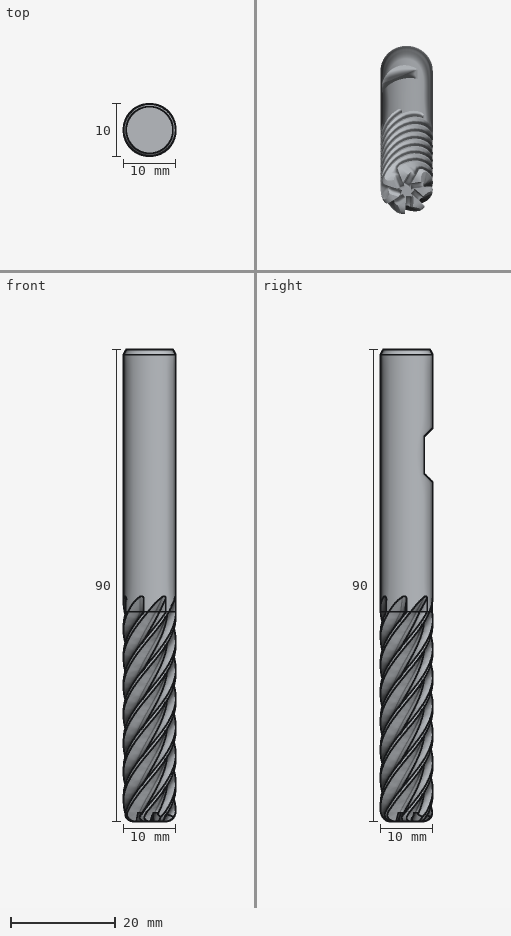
import cadquery as cq
import math

total_length = 90.0
diameter = 10.0
radius = diameter / 2
cutting_length = 40.0

chamfer_height = 1.0
chamfer_width = 0.5
flat_depth = 1.6
flat_center = 69.8
flat_length = 7.1

tooth_count = 7
tooth_pitch = 360.0 / tooth_count
flute_lead = 37.9
land_angle = 9.0
core_radius = 3.4
root_start_angle = 31.0
root_end_angle = 46.0
root_depth = 0.2
mouth_overshoot = 1.3
clearance_radius = 1.3 * radius
end_overshoot = 0.9

runout_length = 2.6

corner_radius = 2.0
gash_height = 1.7
gash_top_width = 0.9
gash_bottom_width = 1.4
gash_inner_radius = 0.9


def polar(distance, angle):
    """Point at a distance from the axis and an angle in degrees."""
    return (distance * math.cos(math.radians(angle)), distance * math.sin(math.radians(angle)))


def extended(inner, outer):
    """Point beyond the outer one, on the line from the inner point through the outer point."""
    return tuple(i + mouth_overshoot * (o - i) for i, o in zip(inner, outer))


def helix_turn(height):
    """Angle in degrees that the flutes turn over a height."""
    return 360.0 * height / flute_lead


def flute_section(edge_angle, z):
    """Flute outline behind one tooth edge: sloped tooth back, root arc, rake face of the next tooth."""
    back_bottom = polar(core_radius, edge_angle + root_start_angle)
    back_top = extended(back_bottom, polar(radius, edge_angle + land_angle))
    root_middle = polar(core_radius - root_depth, edge_angle + (root_start_angle + root_end_angle) / 2)
    rake_bottom = polar(core_radius, edge_angle + root_end_angle)
    rake_top = extended(rake_bottom, polar(radius, edge_angle + tooth_pitch))
    return (
        cq.Workplane("XY", origin=(0, 0, z))
        .moveTo(*back_top)
        .lineTo(*back_bottom)
        .threePointArc(root_middle, rake_bottom)
        .lineTo(*rake_top)
        .lineTo(*polar(clearance_radius, edge_angle + tooth_pitch / 2))
        .close()
    )


def make_helical_flute(edge_angle):
    """Flute through the whole cutting length; the edge angle is the one at the top of the cutter."""
    start = -end_overshoot
    length = cutting_length + 2 * end_overshoot
    section = flute_section(edge_angle + helix_turn(start - cutting_length), start)
    return section.twistExtrude(length, helix_turn(length))


def make_runout(edge_angle):
    """Flute section rising out of the shank along the slope of its rake face."""
    rake_bottom = polar(core_radius, edge_angle + root_end_angle)
    rake_edge = polar(radius, edge_angle + tooth_pitch)
    rise = cq.Vector(rake_edge[0] - rake_bottom[0], rake_edge[1] - rake_bottom[1], runout_length)
    outline = flute_section(edge_angle, cutting_length).val()
    return cq.Workplane(cq.Solid.extrudeLinear(outline, [], rise * 2))


def make_gash(edge_angle):
    """Notch in the end face, with an upright wall along the tooth edge."""
    return (
        cq.Workplane("YZ", origin=(gash_inner_radius, 0, 0))
        .polyline([(0, 0), (0, gash_height), (-gash_top_width, gash_height), (-gash_bottom_width, 0)])
        .close()
        .extrude(radius)
        .rotate((0, 0, 0), (0, 0, 1), edge_angle)
    )


def make_flat():
    """Clamping-flat cutter running across the shank."""
    floor_y = radius - flat_depth
    half_floor = flat_length / 2
    half_mouth = half_floor + flat_depth
    return (
        cq.Workplane("YZ", origin=(0, 0, flat_center))
        .polyline([(floor_y, -half_floor), (floor_y, half_floor), (radius, half_mouth), (radius, -half_mouth)])
        .close()
        .extrude(radius, both=True)
    )


def make_shank():
    blank = cq.Workplane("XY", origin=(0, 0, cutting_length)).circle(radius).extrude(total_length - cutting_length)
    shank = blank.faces(">Z").edges().chamfer(chamfer_height, chamfer_width).cut(make_flat())
    for tooth in range(tooth_count):
        shank = shank.cut(make_runout(tooth * tooth_pitch))
    return shank


def make_cutter():
    blank = cq.Workplane("XY").circle(radius).extrude(cutting_length)
    cutter = blank.faces("<Z").edges().fillet(corner_radius)
    gash_turn = helix_turn(gash_height / 2 - cutting_length)
    for tooth in range(tooth_count):
        cutter = cutter.cut(make_helical_flute(tooth * tooth_pitch))
    for tooth in range(tooth_count):
        cutter = cutter.cut(make_gash(tooth * tooth_pitch + gash_turn))
    return cutter


shank = make_shank()
cutter = make_cutter()

result = cq.Compound.makeCompound([shank.val(), cutter.val()])